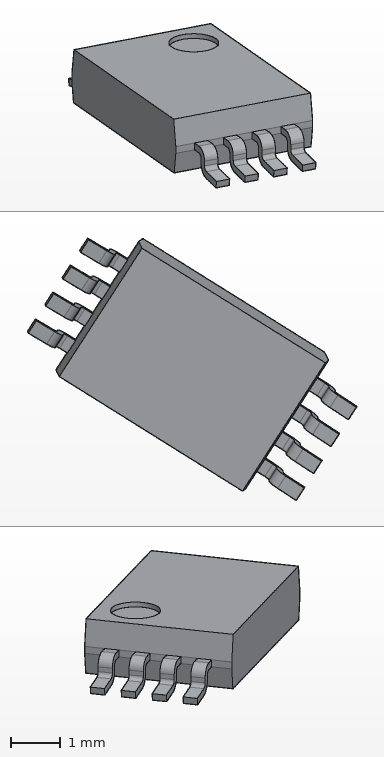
import cadquery as cq
import math

BODY_LENGTH = 4.5
BODY_TOP_LENGTH = 4.315
BODY_BOTTOM_LENGTH = 4.35
BODY_WIDTH = 3.1
BODY_BOTTOM_Z = 0.05
BODY_TOP_Z = 1.2

MARK_DIAMETER = 1.0
MARK_DEPTH = 0.1
MARK_X = -1.375
MARK_Y = 0.755

LEAD_SPAN = 6.4
LEAD_THICKNESS = 0.15
LEAD_WIDTH = 0.3
LEAD_TOP_Z = 0.645
LEAD_SHANK_SPAN = 5.36
LEADS_PER_SIDE = 4
LEAD_ROW_LENGTH = 1.95
BEND_INNER_RADIUS = 0.095
FOOT_ANGLE = math.radians(8)

LEAD_BOTTOM_Z = LEAD_TOP_Z - LEAD_THICKNESS
LEAD_PITCH = LEAD_ROW_LENGTH / (LEADS_PER_SIDE - 1)
BEND_OUTER_RADIUS = BEND_INNER_RADIUS + LEAD_THICKNESS


def make_body():
    """Body with sloped ends, a flat band as tall as the leads, and the index mark."""
    outline = [
        (-BODY_BOTTOM_LENGTH / 2, BODY_BOTTOM_Z),
        (BODY_BOTTOM_LENGTH / 2, BODY_BOTTOM_Z),
        (BODY_LENGTH / 2, LEAD_BOTTOM_Z),
        (BODY_LENGTH / 2, LEAD_TOP_Z),
        (BODY_TOP_LENGTH / 2, BODY_TOP_Z),
        (-BODY_TOP_LENGTH / 2, BODY_TOP_Z),
        (-BODY_LENGTH / 2, LEAD_TOP_Z),
        (-BODY_LENGTH / 2, LEAD_BOTTOM_Z),
    ]
    block = cq.Workplane("XZ").polyline(outline).close().extrude(BODY_WIDTH / 2, both=True)
    mark = (
        cq.Workplane("XY", origin=(MARK_X, MARK_Y, BODY_TOP_Z - MARK_DEPTH))
        .circle(MARK_DIAMETER / 2)
        .extrude(MARK_DEPTH)
    )
    return block.cut(mark)


def polar(center, radius, angle):
    """Point at an angle (radians, from +X towards +Z) on a circle in the XZ plane."""
    return (center[0] + radius * math.cos(angle), center[1] + radius * math.sin(angle))


def make_lead(y):
    """Lead on the -X side, centred at y and butting against the flat band of the body."""
    root_x = -BODY_LENGTH / 2
    shank_outer_x = -LEAD_SHANK_SPAN / 2
    shank_inner_x = shank_outer_x + LEAD_THICKNESS

    tip_top = (-LEAD_SPAN / 2, LEAD_THICKNESS * math.cos(FOOT_ANGLE))
    tip_bottom = (tip_top[0] + LEAD_THICKNESS * math.sin(FOOT_ANGLE), 0)

    shoulder = (shank_outer_x + BEND_OUTER_RADIUS, LEAD_TOP_Z - BEND_OUTER_RADIUS)

    ankle_x = shank_outer_x - BEND_INNER_RADIUS
    foot_rise = (ankle_x - tip_top[0]) * math.tan(FOOT_ANGLE)
    ankle = (ankle_x, tip_top[1] + foot_rise + BEND_INNER_RADIUS / math.cos(FOOT_ANGLE))
    foot_tangent = FOOT_ANGLE - math.pi / 2
    ankle_middle = foot_tangent / 2
    shoulder_middle = math.radians(135)

    profile = (
        cq.Workplane("XZ", origin=(0, y, 0))
        .moveTo(root_x, LEAD_TOP_Z)
        .lineTo(shoulder[0], LEAD_TOP_Z)
        .threePointArc(polar(shoulder, BEND_OUTER_RADIUS, shoulder_middle), (shank_outer_x, shoulder[1]))
        .lineTo(shank_outer_x, ankle[1])
        .threePointArc(
            polar(ankle, BEND_INNER_RADIUS, ankle_middle),
            polar(ankle, BEND_INNER_RADIUS, foot_tangent),
        )
        .lineTo(*tip_top)
        .lineTo(*tip_bottom)
        .lineTo(*polar(ankle, BEND_OUTER_RADIUS, foot_tangent))
        .threePointArc(polar(ankle, BEND_OUTER_RADIUS, ankle_middle), (shank_inner_x, ankle[1]))
        .lineTo(shank_inner_x, shoulder[1])
        .threePointArc(
            polar(shoulder, BEND_INNER_RADIUS, shoulder_middle),
            (shoulder[0], LEAD_BOTTOM_Z),
        )
        .lineTo(root_x, LEAD_BOTTOM_Z)
        .close()
    )
    return profile.extrude(LEAD_WIDTH / 2, both=True)


body = make_body()

leads = []
for index in range(LEADS_PER_SIDE):
    left_lead = make_lead(index * LEAD_PITCH - LEAD_ROW_LENGTH / 2)
    leads.append(left_lead.val())
    leads.append(left_lead.mirror("YZ").val())

result = cq.Compound.makeCompound([body.val(), *leads])